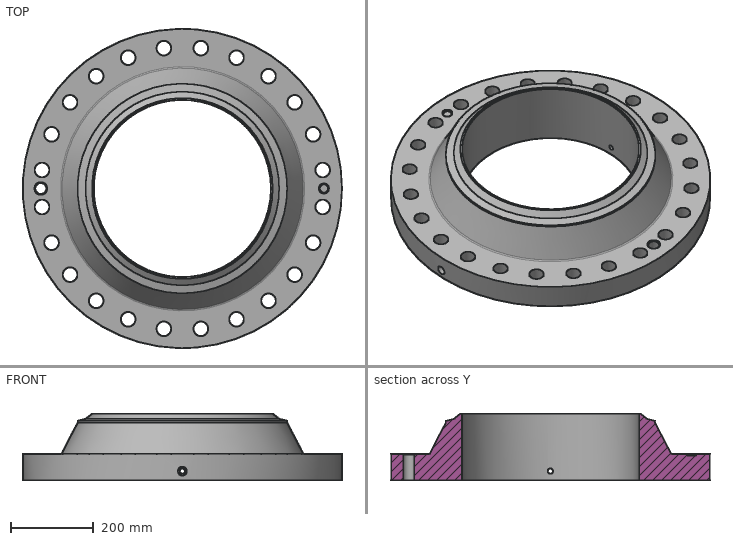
import cadquery as cq

total_height = 162.0
flange_radius = 387.0
flange_thickness = 64.0
bore_radius = 214.5

hub_base_radius = 293.5
hub_fillet = 4.0
weld_end_radius = 254.0
rim_bottom = 140.0
rim_top = 145.0
bevel_radius = 235.0
bevel_bottom = 149.5
land_radius = 219.0

bolt_count = 24
bolt_circle_radius = 343.0
bolt_hole_diameter = 35.0

jack_hole_diameter = 26.0
jack_chamfer = 2.0
recess_diameter = 20.0
recess_chamfer = 2.0
recess_depth = 4.0

tap_height = 22.5
tap_passage_diameter = 12.5
tap_socket_diameter = 22.0
tap_socket_depth = 23.0


def flange_body():
    """Revolved flange, tapered hub and double-bevelled weld end."""
    profile = [
        (bore_radius, 0),
        (flange_radius, 0),
        (flange_radius, flange_thickness),
        (hub_base_radius, flange_thickness),
        (weld_end_radius, rim_bottom),
        (weld_end_radius, rim_top),
        (bevel_radius, bevel_bottom),
        (land_radius, total_height),
        (bore_radius, total_height),
    ]
    body = cq.Workplane("XZ").polyline(profile).close().revolve(360, (0, 0), (0, 1))
    hub_foot = cq.selectors.RadiusNthSelector(-2)
    return body.edges(hub_foot).fillet(hub_fillet)


def bolt_holes():
    """Ring of through holes straddling the X and Y axes."""
    half_pitch = 360 / bolt_count / 2
    return (
        cq.Workplane("XY")
        .polarArray(bolt_circle_radius, half_pitch, 360, bolt_count)
        .circle(bolt_hole_diameter / 2)
        .extrude(flange_thickness)
    )


def chamfered_hole(center_x, diameter, depth, chamfer):
    """Hole sunk into the flange's top face, with its mouth chamfered."""
    radius = diameter / 2
    profile = [
        (0, 0),
        (radius + chamfer, 0),
        (radius, -chamfer),
        (radius, -depth),
        (0, -depth),
    ]
    hole = cq.Workplane("XZ").polyline(profile).close().revolve(360, (0, 0), (0, 1))
    return hole.translate((center_x, 0, flange_thickness))


def pressure_taps():
    """Small passage across the whole flange with a wider socket at each end."""
    mid = cq.Workplane("XZ").center(0, tap_height)
    taps = mid.circle(tap_passage_diameter / 2).extrude(flange_radius, both=True)
    for side in (-1, 1):
        socket = (
            cq.Workplane("XZ", origin=(0, side * flange_radius, tap_height))
            .circle(tap_socket_diameter / 2)
            .extrude(side * tap_socket_depth)
        )
        taps = taps.union(socket)
    return taps


jack_hole = chamfered_hole(-bolt_circle_radius, jack_hole_diameter, flange_thickness, jack_chamfer)
recess = chamfered_hole(bolt_circle_radius, recess_diameter, recess_depth, recess_chamfer)

result = (
    flange_body()
    .cut(bolt_holes())
    .cut(jack_hole)
    .cut(recess)
    .cut(pressure_taps())
)